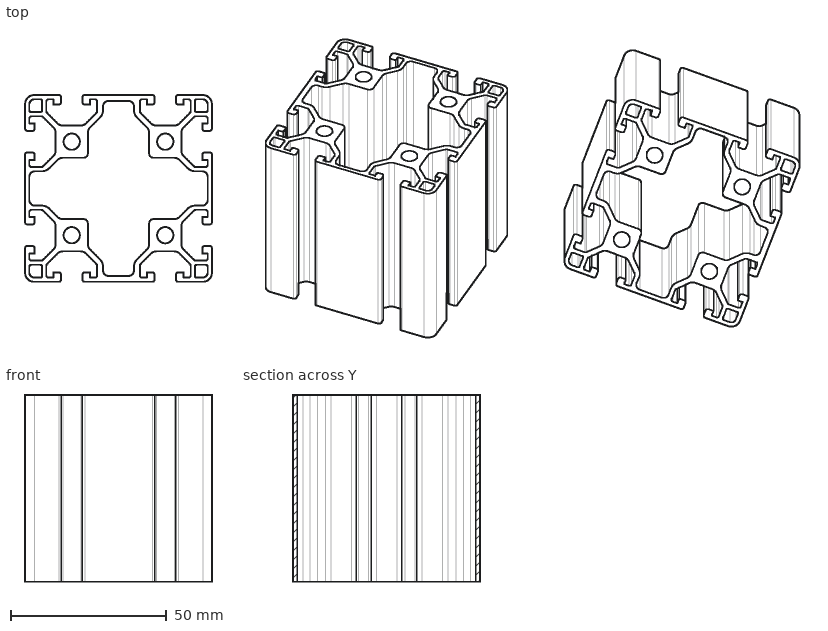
import cadquery as cq
import math

side = 60.0
half = side / 2
length = 60.0
corner_radius = 3.0

wall = 1.45
thick_wall = 2.0
spoke = 1.85

core_center = side / 4
core_half = 5.2
bore_diameter = 5.15

mouth_half = 3.4
lip_half = 5.9
lip_depth = 3.1
slot_half = 8.1
slot_floor = core_center - core_half

spoke_offset = spoke / math.sqrt(2)
flank_web_depth = core_center - slot_half - spoke_offset
flank_floor_half = core_half - spoke_offset

lip_radius = 0.8
slot_corner_radius = 0.6
slot_flank_radius = 0.7
core_flank_radius = 2.4
core_corner_radius = 1.5
cavity_flank_radius = 3.3
cavity_corner_radius = 1.7
cell_radius = 0.5


def rounded_prism(corners):
    """Extrude a closed outline given as (x, y, radius) corners; a zero radius leaves a corner sharp."""
    arcs = []
    for i, (x, y, radius) in enumerate(corners):
        corner = cq.Vector(x, y)
        before = cq.Vector(*corners[i - 1][:2])
        after = cq.Vector(*corners[(i + 1) % len(corners)][:2])
        to_before = (before - corner).normalized()
        to_after = (after - corner).normalized()
        half_angle = to_before.getAngle(to_after) / 2
        tangent = radius / math.tan(half_angle)
        apex = radius / math.sin(half_angle) - radius
        middle = corner + (to_before + to_after).normalized() * apex
        arcs.append((corner + to_before * tangent, middle, corner + to_after * tangent, radius))

    outline = cq.Workplane("XY").moveTo(*arcs[0][2].toTuple()[:2])
    for start, middle, end, radius in arcs[1:] + arcs[:1]:
        outline = outline.lineTo(*start.toTuple()[:2])
        if radius > 0:
            outline = outline.threePointArc(middle.toTuple()[:2], end.toTuple()[:2])
    return outline.wire().extrude(length)


def slot_corners(center):
    """Corners of one T-slot in the -Y face, from left to right."""
    left_half = [
        (-mouth_half, 0, lip_radius),
        (-mouth_half, lip_depth, lip_radius),
        (-lip_half, lip_depth, 0),
        (-lip_half, wall, 0),
        (-slot_half, wall, slot_corner_radius),
        (-slot_half, flank_web_depth, slot_flank_radius),
        (-flank_floor_half, slot_floor, core_flank_radius),
    ]
    right_half = [(-across, depth, radius) for across, depth, radius in reversed(left_half)]
    return [(center + across, depth - half, radius) for across, depth, radius in left_half + right_half]


def quarter_turns(corners, turns):
    """Rotate corners about the part's axis by a number of counterclockwise quarter turns."""
    for _ in range(turns):
        corners = [(-y, x, radius) for x, y, radius in corners]
    return corners


def make_body():
    """Square section with two T-slots in every face."""
    face = [(-half, -half, corner_radius)] + slot_corners(-core_center) + slot_corners(core_center)
    outline = []
    for turns in range(4):
        outline += quarter_turns(face, turns)
    return rounded_prism(outline)


def make_cavity():
    """Central cross-shaped cavity, its bays reaching the outer skin between the slots."""
    core_inner = core_center - core_half
    side_bay_half = core_center - slot_half - wall
    end_bay_half = core_center - slot_half - thick_wall
    flank_sum = 2 * core_center - spoke_offset
    quadrant = [
        (half - wall, side_bay_half, cavity_corner_radius),
        (flank_sum - side_bay_half, side_bay_half, cavity_flank_radius),
        (flank_sum - core_inner, core_inner, core_flank_radius),
        (core_inner, core_inner, core_corner_radius),
        (core_inner, flank_sum - core_inner, core_flank_radius),
        (end_bay_half, flank_sum - end_bay_half, cavity_flank_radius),
        (end_bay_half, half - thick_wall, cavity_corner_radius),
    ]
    upper = quadrant + [(-x, y, radius) for x, y, radius in reversed(quadrant)]
    lower = [(-x, -y, radius) for x, y, radius in upper]
    return rounded_prism(upper + lower)


def make_corner_cell(turns):
    """Small hollow cell behind one rounded corner, in quarter turns from the +X +Y corner."""
    outer = half - wall
    inner = core_center + slot_half + wall
    cell = [
        (inner, inner, cell_radius),
        (outer, inner, cell_radius),
        (outer, outer, corner_radius - wall),
        (inner, outer, cell_radius),
    ]
    return rounded_prism(quarter_turns(cell, turns))


def make_bores():
    """Through bores along the four cores."""
    spacing = 2 * core_center
    centers = cq.Workplane("XY").rarray(spacing, spacing, 2, 2)
    return centers.circle(bore_diameter / 2).extrude(length)


result = make_body().cut(make_cavity()).cut(make_bores())
for quarter in range(4):
    result = result.cut(make_corner_cell(quarter))